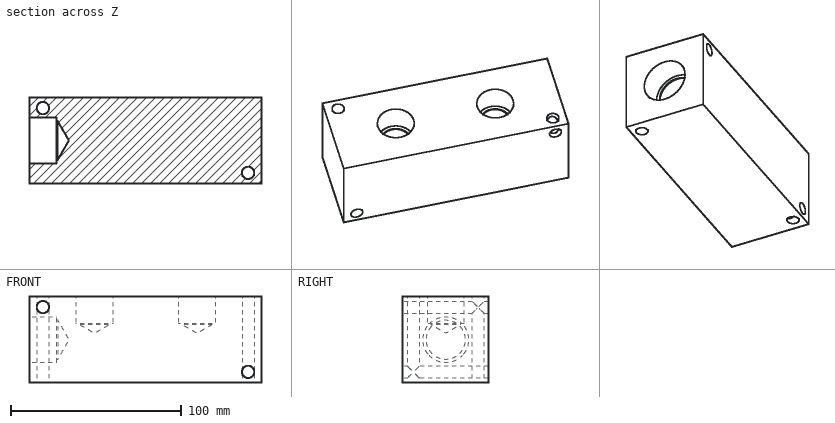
import cadquery as cq
import math

BLOCK_LENGTH = 136.53
BLOCK_SIDE = 50.8
MID_LENGTH = BLOCK_LENGTH / 2
MID_SIDE = BLOCK_SIDE / 2

MOUNT_DIAMETER = 7.14
MOUNT_END_OFFSET = 7.94
MOUNT_EDGE_OFFSET = 6.35

PORT_BORE_DEPTH = 15.88
DRILL_RUNOUT = 0.64
DRILL_POINT_ANGLE = 120.0

TOP_PORT_BORE_DIAMETER = 21.59
TOP_PORT_DRILL_DIAMETER = 17.48
TOP_PORT_SPACING = 60.33

END_PORT_BORE_DIAMETER = 26.92
END_PORT_DRILL_DIAMETER = 23.01

X_AXIS = cq.Vector(1, 0, 0)
Y_AXIS = cq.Vector(0, 1, 0)
Z_AXIS = cq.Vector(0, 0, 1)


def make_port(mouth, direction, bore_diameter, drill_diameter):
    """Solid that fills a port, from the mouth centre inward along direction."""
    bore = cq.Solid.makeCylinder(bore_diameter / 2, PORT_BORE_DEPTH, mouth, direction)

    drill_radius = drill_diameter / 2
    drill_depth = PORT_BORE_DEPTH + DRILL_RUNOUT
    drill = cq.Solid.makeCylinder(drill_radius, drill_depth, mouth, direction)

    point_height = drill_radius / math.tan(math.radians(DRILL_POINT_ANGLE / 2))
    point_base = mouth + direction * drill_depth
    point = cq.Solid.makeCone(drill_radius, 0, point_height, point_base, direction)
    return cq.Workplane(bore.fuse(drill, point))


def cut_mounting_holes(body):
    """Crossing through holes along Y and along Z at two opposite corners."""
    radius = MOUNT_DIAMETER / 2
    near_corner = (MOUNT_END_OFFSET, BLOCK_SIDE - MOUNT_EDGE_OFFSET)
    far_corner = (BLOCK_LENGTH - MOUNT_END_OFFSET, MOUNT_EDGE_OFFSET)
    for along, across in (near_corner, far_corner):
        y_start = cq.Vector(along, 0, across)
        z_start = cq.Vector(along, across, 0)
        body = body.cut(cq.Workplane(cq.Solid.makeCylinder(radius, BLOCK_SIDE, y_start, Y_AXIS)))
        body = body.cut(cq.Workplane(cq.Solid.makeCylinder(radius, BLOCK_SIDE, z_start, Z_AXIS)))
    return body


def cut_top_ports(body):
    """Two equal ports in the +Z face, spaced evenly about mid length."""
    for side in (-1, 1):
        mouth = cq.Vector(MID_LENGTH + side * TOP_PORT_SPACING / 2, MID_SIDE, BLOCK_SIDE)
        body = body.cut(make_port(mouth, -Z_AXIS, TOP_PORT_BORE_DIAMETER, TOP_PORT_DRILL_DIAMETER))
    return body


def cut_end_port(body):
    """One larger port in the middle of the -X face."""
    mouth = cq.Vector(0, MID_SIDE, MID_SIDE)
    return body.cut(make_port(mouth, X_AXIS, END_PORT_BORE_DIAMETER, END_PORT_DRILL_DIAMETER))


block = cq.Workplane("XY").box(BLOCK_LENGTH, BLOCK_SIDE, BLOCK_SIDE, centered=False)
block = cut_mounting_holes(block)
block = cut_top_ports(block)
result = cut_end_port(block)